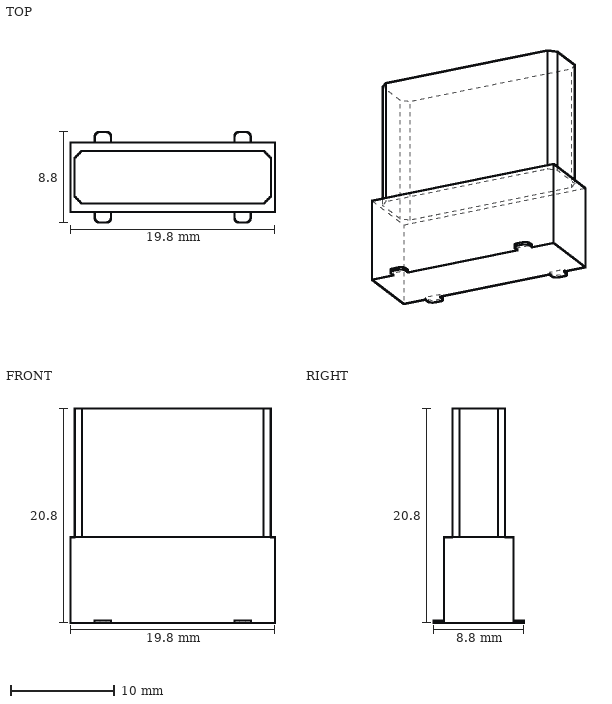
import cadquery as cq

base_length = 19.8
base_width = 6.75
base_height = 8.32

total_height = 20.8
upper_length = 19.01
upper_width = 5.12
upper_chamfer = 0.7

tab_span = 8.8
tab_width = 1.6
tab_thickness = 0.25
tab_spacing = 13.52
tab_corner_radius = 0.5


def make_base():
    return cq.Workplane("XY").box(base_length, base_width, base_height, centered=(True, True, False))


def make_upper():
    return (
        cq.Workplane("XY")
        .workplane(offset=base_height)
        .box(upper_length, upper_width, total_height - base_height, centered=(True, True, False))
        .edges("|Z")
        .chamfer(upper_chamfer)
    )


def make_tab_pair(x):
    """Flat strip through the base whose two rounded ends stick out as tabs."""
    return (
        cq.Workplane("XY")
        .center(x, 0)
        .rect(tab_width, tab_span)
        .extrude(tab_thickness)
        .edges("|Z")
        .fillet(tab_corner_radius)
    )


result = make_base().union(make_upper())
for side in (-1, 1):
    result = result.union(make_tab_pair(side * tab_spacing / 2))